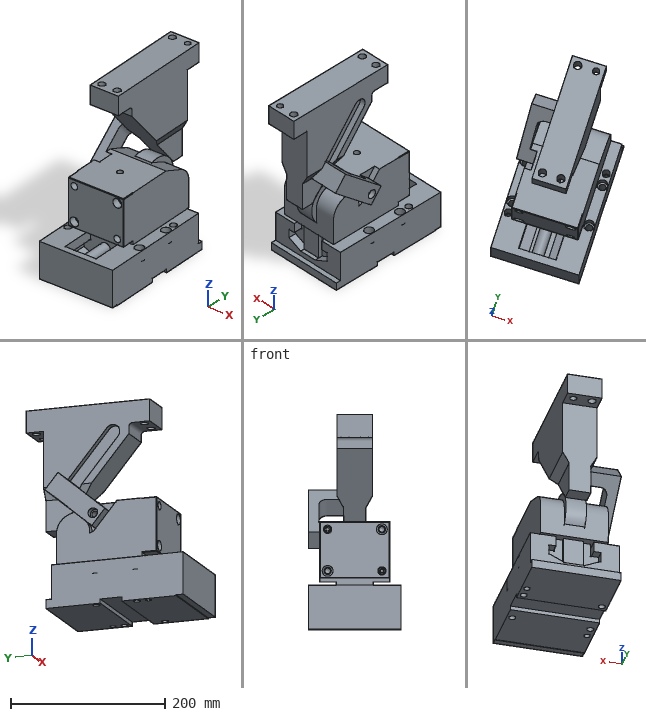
import cadquery as cq
import math


CAM_ANGLE = 50.0
DRILL_TIP_ANGLE = 118.0

BASE_WIDTH = 120.0
BASE_LENGTH = 182.2
BASE_TOP = 58.0
LIP_LENGTH = 7.5
LIP_HEIGHT = 12.0
KEYWAY_START = 84.8
KEYWAY_WIDTH = 29.9
KEYWAY_DEPTH = 5.5
RELIEF_LENGTH = 9.8
RELIEF_DEPTH = 1.0
MOUNT_X = 52.5
MOUNT_REAR_Y = 122.8
MOUNT_FRONT_Y = 66.7
MOUNT_RADIUS = 4.5
MOUNT_BORE_RADIUS = 7.0
MOUNT_BORE_DEPTH = 16.7
DOWEL_OFFSET = 16.0
DOWEL_RADIUS = 4.0
DOWEL_BORE_RADIUS = 5.0
DOWEL_BORE_DEPTH = 28.0

CHANNEL_FRONT = 10.0
CHANNEL_HALF_WIDTH = 25.5
CHANNEL_FLOOR_HALF_WIDTH = 13.5
CHANNEL_LIP = 14.5
CHANNEL_DEPTH = 38.2
UNDERCUT_HALF_WIDTH = 35.2
FLOOR_SLOPE = 25.0

SLIDER_HALF_WIDTH = 45.5
SLIDER_FRONT = 41.8
SLIDER_BOTTOM = 62.0
SLIDER_TOP = 140.3
NOSE_LENGTH = 20.5
NOSE_BOTTOM = 67.0
NOSE_CHAMFER = 0.98
SHOULDER_RADIUS = 26.2
SHOULDER_SLOPE = 22.0
FOOT_HALF_WIDTH = 24.0
FOOT_REAR = 170.2
TAB_LENGTH = 5.9
TAB_TOP = 60.8
ROD_RADIUS = 8.0
ROD_HEIGHT = 40.2
ROD_CLEARANCE = 0.8
LIFT_HOLE_Y = 93.5
LIFT_HOLE_RADIUS = 4.5
LIFT_HOLE_DEPTH = 22.3
FACE_HOLE_X = 35.2
FACE_HOLE_LOW_Z = 76.5
FACE_HOLE_HIGH_Z = 130.3
FACE_BORE_RADIUS = 7.0
FACE_BORE_DEPTH = 11.2
SCREW_RADIUS = 3.5
SCREW_THREAD_RADIUS = 4.7
SCREW_THREAD_DEPTH = 30.7
SCREW_DEPTH = 39.0
PIN_BORE_RADIUS = 5.3
PIN_BORE_DEPTH = 11.2
PIN_RADIUS = 4.0
PIN_DEPTH = 22.3
PIN_PILOT_RADIUS = 2.2
PIN_PILOT_DEPTH = 39.0

ROLLER_RADIUS = 34.5
ROLLER_LENGTH = 27.5
ROLLER_Y = 154.3
ROLLER_Z = 103.0

DRIVER_TOP = 279.0
DRIVER_HALF_WIDTH = 23.2
FLANGE_FRONT = 60.0
FLANGE_REAR = 230.7
FLANGE_BOTTOM = 249.5
STEM_FRONT = 88.7
STEM_REAR = 206.7
STEM_BOTTOM = 116.5
STEM_FILLET = 5.0
NECK_HALF_WIDTH = 14.5
NECK_TOP = 173.5
NECK_BOTTOM = 158.2
BOLT_X = 12.5
FRONT_BOLT_INSET = 11.2
REAR_BOLT_INSET = 10.3
BOLT_RADIUS = 5.3
SMALL_BOLT_RADIUS = 4.5

HOOK_START = -64.7
HOOK_END = 19.8
HOOK_LOW = 19.8
HOOK_WIDTH = 28.2
FINGER_WIDTH = 19.0
HOOK_INNER_X = -46.3
HOOK_FOOT_X = -36.5
HOOK_FILLET = 10.5
HOOK_BORE_RADIUS = 6.5
HOOK_BORE_DEPTH = 8.5
HOOK_SCREW_RADIUS = 4.2
HOOK_SCREW_DEPTH = 33.5
RECESS_DROP = 2.8
RECESS_FILLET = 12.5
SLOT_WIDTH = 19.8
SLOT_END = 132.2


def prism(outline, x_start, x_end):
    """Extrude a closed YZ outline between two X positions."""
    return outline.extrude(x_end - x_start).translate((x_start, 0, 0))


def box(x, y, z):
    """Box from (start, end) pairs along X, Y and Z."""
    size = [end - start for start, end in (x, y, z)]
    return cq.Workplane("XY").box(*size, centered=False).translate((x[0], y[0], z[0]))


def cylinder(radius, length, start, direction):
    return cq.Workplane(cq.Solid.makeCylinder(radius, length, cq.Vector(*start), cq.Vector(*direction)))


def drilled_hole(radius, depth, start, direction):
    """Blind hole with a conical drill tip."""
    tip_length = radius / math.tan(math.radians(DRILL_TIP_ANGLE / 2))
    tip_start = cq.Vector(*start) + cq.Vector(*direction) * depth
    tip = cq.Solid.makeCone(radius, 0, tip_length, tip_start, cq.Vector(*direction))
    return cylinder(radius, depth, start, direction).union(cq.Workplane(tip))


def hook_point(along, across):
    """(Y, Z) of a point given along the hook, downwards, and across it, from the roller axis."""
    lean = math.radians(CAM_ANGLE)
    y = ROLLER_Y - along * math.sin(lean) - across * math.cos(lean)
    z = ROLLER_Z - along * math.cos(lean) + across * math.sin(lean)
    return (y, z)


def hook_block(along, across, x):
    """Box turned to the hook's direction, from (start, end) pairs."""
    corners = [
        hook_point(along[0], across[0]),
        hook_point(along[1], across[0]),
        hook_point(along[1], across[1]),
        hook_point(along[0], across[1]),
    ]
    return prism(cq.Workplane("YZ").polyline(corners).close(), *x)



def channel(half_width, y_start, y_end):
    """Shape of the channel between two Y positions, with a given half width between the lips."""
    lip_bottom = BASE_TOP - CHANNEL_LIP
    floor = BASE_TOP - CHANNEL_DEPTH
    slope_width = UNDERCUT_HALF_WIDTH - CHANNEL_FLOOR_HALF_WIDTH
    slope_top = floor + slope_width * math.tan(math.radians(FLOOR_SLOPE))
    right_half = [
        (CHANNEL_FLOOR_HALF_WIDTH, floor),
        (UNDERCUT_HALF_WIDTH, slope_top),
        (UNDERCUT_HALF_WIDTH, lip_bottom),
        (half_width, lip_bottom),
        (half_width, BASE_TOP),
    ]
    left_half = [(-x, z) for x, z in reversed(right_half)]
    outline = cq.Workplane("XZ").polyline(right_half + left_half).close()
    return outline.extrude(y_start - y_end).translate((0, y_start, 0))


def stepped_hole(x, y, radius, bore_radius, bore_depth):
    """Vertical hole through the base, wider at the top."""
    hole = cylinder(radius, BASE_TOP, (x, y, 0), (0, 0, 1))
    bore = cylinder(bore_radius, bore_depth, (x, y, BASE_TOP), (0, 0, -1))
    return hole.union(bore)


def make_base():
    half = BASE_WIDTH / 2
    sides = (-half, half)
    base = box(sides, (0, BASE_LENGTH), (0, BASE_TOP))
    base = base.union(box(sides, (BASE_LENGTH, BASE_LENGTH + LIP_LENGTH), (0, LIP_HEIGHT)))
    base = base.cut(box(sides, (KEYWAY_START, KEYWAY_START + KEYWAY_WIDTH), (0, KEYWAY_DEPTH)))
    base = base.cut(box(sides, (0, RELIEF_LENGTH), (0, RELIEF_DEPTH)))
    base = base.cut(channel(CHANNEL_HALF_WIDTH, CHANNEL_FRONT, BASE_LENGTH))
    for x in (-MOUNT_X, MOUNT_X):
        for y in (MOUNT_FRONT_Y, MOUNT_REAR_Y):
            base = base.cut(stepped_hole(x, y, MOUNT_RADIUS, MOUNT_BORE_RADIUS, MOUNT_BORE_DEPTH))
    for x, y in ((-MOUNT_X, MOUNT_FRONT_Y - DOWEL_OFFSET), (MOUNT_X, MOUNT_REAR_Y + DOWEL_OFFSET)):
        base = base.cut(stepped_hole(x, y, DOWEL_RADIUS, DOWEL_BORE_RADIUS, DOWEL_BORE_DEPTH))
    return base



def make_roller():
    return cylinder(ROLLER_RADIUS, ROLLER_LENGTH, (-ROLLER_LENGTH / 2, ROLLER_Y, ROLLER_Z), (1, 0, 0))



def slider_block():
    """Main block with a rounded shoulder and a sloping face behind the top."""
    slope = math.radians(SHOULDER_SLOPE)
    rear = ROLLER_Y + SHOULDER_RADIUS
    nose_rear = SLIDER_FRONT + NOSE_LENGTH

    def shoulder(angle):
        return (ROLLER_Y + SHOULDER_RADIUS * math.cos(angle), ROLLER_Z + SHOULDER_RADIUS * math.sin(angle))

    arc_end_angle = math.pi / 2 - slope
    arc_end = shoulder(arc_end_angle)
    slope_top_y = arc_end[0] - (SLIDER_TOP - arc_end[1]) / math.tan(slope)
    outline = (
        cq.Workplane("YZ")
        .moveTo(nose_rear, SLIDER_BOTTOM)
        .lineTo(rear, SLIDER_BOTTOM)
        .lineTo(rear, ROLLER_Z)
        .threePointArc(shoulder(arc_end_angle / 2), arc_end)
        .lineTo(slope_top_y, SLIDER_TOP)
        .lineTo(nose_rear, SLIDER_TOP)
        .close()
    )
    return prism(outline, -SLIDER_HALF_WIDTH, SLIDER_HALF_WIDTH)


def slider_nose():
    """Front block, chamfered on every edge but those where it joins the main block."""
    sides = (-SLIDER_HALF_WIDTH, SLIDER_HALF_WIDTH)
    nose = box(sides, (SLIDER_FRONT, SLIDER_FRONT + NOSE_LENGTH), (NOSE_BOTTOM, SLIDER_TOP))
    return nose.edges("|Y or <Y").chamfer(NOSE_CHAMFER)


def slider_foot():
    """Guide filling the channel's undercut, with a narrower tab behind it and a rod in front."""
    front = SLIDER_FRONT + NOSE_LENGTH
    neck = box((-FOOT_HALF_WIDTH, FOOT_HALF_WIDTH), (front, FOOT_REAR), (BASE_TOP, SLIDER_BOTTOM))
    key = channel(FOOT_HALF_WIDTH, front, FOOT_REAR)
    tab_sides = (-CHANNEL_FLOOR_HALF_WIDTH, CHANNEL_FLOOR_HALF_WIDTH)
    tab_rear = FOOT_REAR + TAB_LENGTH
    tab = box(tab_sides, (FOOT_REAR, tab_rear), (BASE_TOP - CHANNEL_DEPTH, TAB_TOP))
    rod_front = CHANNEL_FRONT + ROD_CLEARANCE
    rod = cylinder(ROD_RADIUS, front - rod_front, (0, rod_front, ROD_HEIGHT), (0, 1, 0))
    return neck.union(key).union(tab).union(rod)


def hook_recess():
    """Recess in the slider's side that holds the foot of the hook, rounded below it."""
    corner = hook_point(HOOK_END, HOOK_LOW)
    tangent = hook_point(0, HOOK_LOW)
    round_end = (ROLLER_Y - HOOK_LOW, ROLLER_Z)
    lean = math.radians(CAM_ANGLE / 2)
    round_middle = (ROLLER_Y - HOOK_LOW * math.cos(lean), ROLLER_Z + HOOK_LOW * math.sin(lean))
    above = HOOK_LOW + 2 * HOOK_WIDTH
    outline = (
        cq.Workplane("YZ")
        .moveTo(*hook_point(0, above))
        .lineTo(*tangent)
        .threePointArc(round_middle, round_end)
        .lineTo(round_end[0], round_end[1] - RECESS_DROP)
        .radiusArc(corner, RECESS_FILLET)
        .lineTo(*hook_point(HOOK_END, above))
        .close()
    )
    return prism(outline, -SLIDER_HALF_WIDTH, HOOK_FOOT_X)


def hook_screw_place(x):
    """Point at a given X on the axis of the screw through the foot of the hook."""
    y, z = hook_point(HOOK_END / 2, HOOK_LOW + HOOK_WIDTH / 2)
    return (x, y, z)


def face_holes():
    """Counterbored screw holes and pin holes at opposite corners of the front face."""
    holes = cq.Workplane()
    inward = (0, 1, 0)
    for x, z in ((FACE_HOLE_X, FACE_HOLE_HIGH_Z), (-FACE_HOLE_X, FACE_HOLE_LOW_Z)):
        screw_place = (x, SLIDER_FRONT, z)
        pin_place = (-x, SLIDER_FRONT, z)
        holes = holes.add(cylinder(FACE_BORE_RADIUS, FACE_BORE_DEPTH, screw_place, inward))
        holes = holes.add(cylinder(SCREW_THREAD_RADIUS, SCREW_THREAD_DEPTH, screw_place, inward))
        holes = holes.add(drilled_hole(SCREW_RADIUS, SCREW_DEPTH, screw_place, inward))
        holes = holes.add(cylinder(PIN_BORE_RADIUS, PIN_BORE_DEPTH, pin_place, inward))
        holes = holes.add(cylinder(PIN_RADIUS, PIN_DEPTH, pin_place, inward))
        holes = holes.add(cylinder(PIN_PILOT_RADIUS, PIN_PILOT_DEPTH, pin_place, inward))
    return holes.combine()


def make_slider():
    slider = slider_block().union(slider_nose()).union(slider_foot())
    slider = slider.cut(make_roller()).cut(hook_recess()).cut(face_holes())
    lift_hole = drilled_hole(LIFT_HOLE_RADIUS, LIFT_HOLE_DEPTH, (0, LIFT_HOLE_Y, SLIDER_TOP), (0, 0, -1))
    hook_screw = hook_screw_place(-BASE_WIDTH / 2)
    screw_hole = drilled_hole(HOOK_SCREW_RADIUS, HOOK_SCREW_DEPTH, hook_screw, (1, 0, 0))
    return slider.cut(lift_hole).cut(screw_hole)



def driver_profile():
    """Flange and stem from the side; the stem's sloping face touches the roller."""
    face_y = ROLLER_Y + ROLLER_RADIUS * math.sin(math.radians(CAM_ANGLE))
    face_z = ROLLER_Z + ROLLER_RADIUS * math.cos(math.radians(CAM_ANGLE))
    slope = math.tan(math.radians(CAM_ANGLE))
    outline = cq.Workplane("YZ").polyline([
        (FLANGE_FRONT, DRIVER_TOP),
        (FLANGE_FRONT, FLANGE_BOTTOM),
        (STEM_FRONT, FLANGE_BOTTOM),
        (STEM_FRONT, face_z + (face_y - STEM_FRONT) * slope),
        (face_y - (STEM_BOTTOM - face_z) / slope, STEM_BOTTOM),
        (STEM_REAR, STEM_BOTTOM),
        (STEM_REAR, FLANGE_BOTTOM),
        (FLANGE_REAR, FLANGE_BOTTOM),
        (FLANGE_REAR, DRIVER_TOP),
    ]).close()
    driver = prism(outline, -DRIVER_HALF_WIDTH, DRIVER_HALF_WIDTH)
    corner = cq.selectors.NearestToPointSelector((0, STEM_FRONT, FLANGE_BOTTOM))
    return driver.edges("|X").edges(corner).fillet(STEM_FILLET)


def neck_envelope():
    """Front outline of the driver, narrowing to the neck, through its whole length."""
    half = [
        (DRIVER_HALF_WIDTH, DRIVER_TOP),
        (DRIVER_HALF_WIDTH, NECK_TOP),
        (NECK_HALF_WIDTH, NECK_BOTTOM),
        (NECK_HALF_WIDTH, STEM_BOTTOM),
    ]
    mirrored = [(-x, z) for x, z in reversed(half)]
    return cq.Workplane("XZ").polyline(half + mirrored).close().extrude(-FLANGE_REAR)


def hook_slot():
    """Slot for the finger of the hook, as deep as the neck and round at its upper end."""
    x = (-DRIVER_HALF_WIDTH, -NECK_HALF_WIDTH)
    slot = hook_block((HOOK_START, HOOK_START + SLOT_WIDTH), (HOOK_LOW, SLOT_END), x)
    y, z = hook_point(HOOK_START + SLOT_WIDTH / 2, SLOT_END)
    return slot.union(cylinder(SLOT_WIDTH / 2, x[1] - x[0], (x[0], y, z), (1, 0, 0)))


def make_driver():
    driver = driver_profile().intersect(neck_envelope()).cut(hook_slot())
    front = FLANGE_FRONT + FRONT_BOLT_INSET
    rear = FLANGE_REAR - REAR_BOLT_INSET
    bolts = [
        (-BOLT_X, front, BOLT_RADIUS),
        (BOLT_X, front, BOLT_RADIUS),
        (-BOLT_X, rear, BOLT_RADIUS),
        (BOLT_X, rear, SMALL_BOLT_RADIUS),
    ]
    for x, y, radius in bolts:
        driver = driver.cut(cylinder(radius, DRIVER_TOP - FLANGE_BOTTOM, (x, y, FLANGE_BOTTOM), (0, 0, 1)))
    return driver



def make_hook():
    outer = -BASE_WIDTH / 2
    across = (HOOK_LOW, HOOK_LOW + HOOK_WIDTH)
    arm = hook_block((HOOK_START, HOOK_END), across, (outer, HOOK_INNER_X))
    finger = hook_block((HOOK_START, HOOK_START + FINGER_WIDTH), across, (outer, -NECK_HALF_WIDTH))
    foot = hook_block((0, HOOK_END), across, (outer, HOOK_FOOT_X))
    hook = arm.union(finger)
    y, z = hook_point(HOOK_START + FINGER_WIDTH, HOOK_LOW + HOOK_WIDTH / 2)
    corner = cq.selectors.NearestToPointSelector((HOOK_INNER_X, y, z))
    hook = hook.edges(corner).fillet(HOOK_FILLET).union(foot)
    place = hook_screw_place(outer)
    hook = hook.cut(cylinder(HOOK_BORE_RADIUS, HOOK_BORE_DEPTH, place, (1, 0, 0)))
    return hook.cut(cylinder(HOOK_SCREW_RADIUS, HOOK_SCREW_DEPTH, place, (1, 0, 0)))


base = make_base()
slider = make_slider()
roller = make_roller()
driver = make_driver()
hook = make_hook()

result = cq.Compound.makeCompound([
    base.solids().val(),
    slider.solids().val(),
    roller.solids().val(),
    driver.solids().val(),
    hook.solids().val(),
])